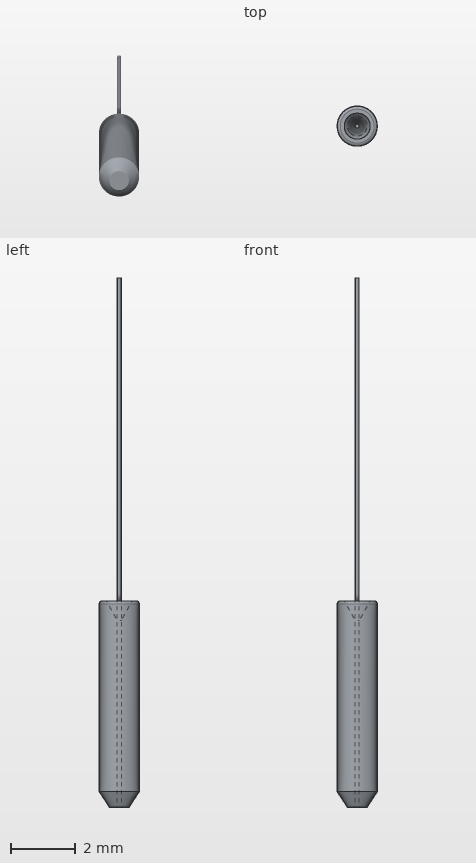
import cadquery as cq

fiber_length = 16.4
fiber_diameter = 0.125
ferrule_length = 6.4
ferrule_diameter = 1.25

tip_diameter = 0.6
tip_height = 0.5
rim_fillet = 0.1
funnel_diameter = 0.8
funnel_depth = 0.6

ferrule_radius = ferrule_diameter / 2
fiber_radius = fiber_diameter / 2


def make_ferrule():
    """Turned sleeve with a tapered tip, a rounded rim and a funnel leading into the fiber bore."""
    profile = (
        cq.Workplane("XZ")
        .moveTo(fiber_radius, 0)
        .lineTo(tip_diameter / 2, 0)
        .lineTo(ferrule_radius, tip_height)
        .lineTo(ferrule_radius, ferrule_length - rim_fillet)
        .radiusArc((ferrule_radius - rim_fillet, ferrule_length), -rim_fillet)
        .lineTo(funnel_diameter / 2, ferrule_length)
        .lineTo(fiber_radius, ferrule_length - funnel_depth)
        .close()
    )
    return profile.revolve(360, (0, 0, 0), (0, 1, 0))


def make_fiber():
    """Thin round fiber filling the bore and standing out above the ferrule."""
    return cq.Workplane("XY").circle(fiber_radius).extrude(fiber_length)


ferrule = make_ferrule()
fiber = make_fiber()

result = cq.Compound.makeCompound([ferrule.val(), fiber.val()])